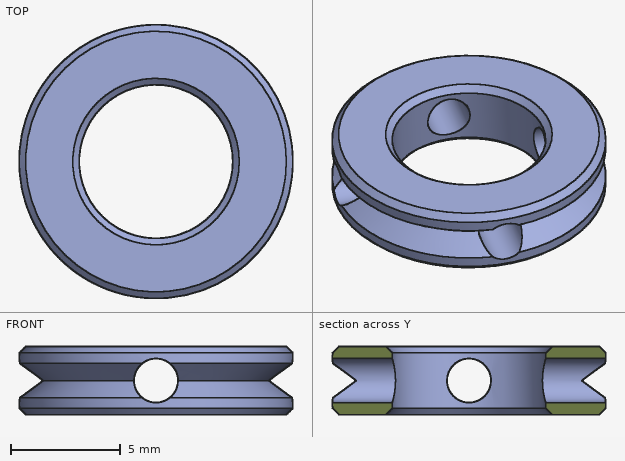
import cadquery as cq

outer_diameter = 12.5
outer_radius = outer_diameter / 2
thickness = outer_diameter / 4
bore_radius = 7.0 / 2
edge_chamfer = 0.3
groove_width = thickness / 2
groove_depth = 1.0
cross_hole_diameter = 2.0

half_thickness = thickness / 2


def grooved_ring():
    """Ring with chamfered edges and a V groove, revolved about Z and centred on z = 0."""
    half_groove = groove_width / 2
    chamfer_z = half_thickness - edge_chamfer
    profile = [
        (bore_radius, -chamfer_z),
        (bore_radius + edge_chamfer, -half_thickness),
        (outer_radius - edge_chamfer, -half_thickness),
        (outer_radius, -chamfer_z),
        (outer_radius, -half_groove),
        (outer_radius - groove_depth, 0),
        (outer_radius, half_groove),
        (outer_radius, chamfer_z),
        (outer_radius - edge_chamfer, half_thickness),
        (bore_radius + edge_chamfer, half_thickness),
        (bore_radius, chamfer_z),
    ]
    return cq.Workplane("XZ").polyline(profile).close().revolve(360, (0, 0), (0, 1))


def cross_hole(direction):
    """Cylinder through the whole ring, along a horizontal direction, with its seam on the top."""
    start = direction * -outer_diameter
    plane = cq.Plane(origin=start.toTuple(), xDir=(0, 0, 1), normal=direction)
    return cq.Workplane(plane).circle(cross_hole_diameter / 2).extrude(2 * outer_diameter)


result = grooved_ring()
for hole_direction in (cq.Vector(1, 0, 0), cq.Vector(0, 1, 0)):
    result = result.cut(cross_hole(hole_direction))